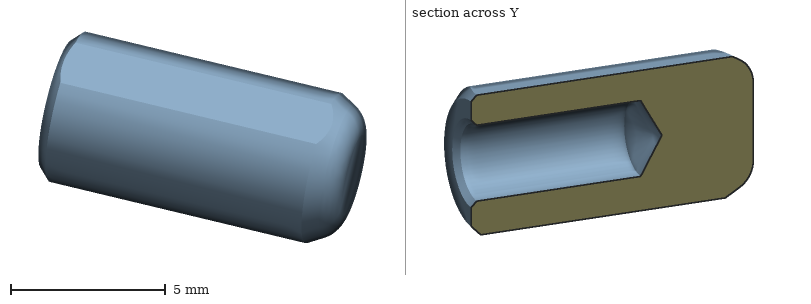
import cadquery as cq
import math

length = 10.0
radius = 2.5
flat_depth = 0.15
entry_chamfer = 0.35

taper_length = 0.5
taper_angle = 30.0
nose_round_radius = 1.0

hole_radius = 1.3
mouth_radius = 1.5
hole_depth = 6.0
drill_point_angle = 120.0


def make_body():
    """Revolve the half profile: chamfered entry, cylinder, taper and rounded nose."""
    angle = math.radians(taper_angle)
    round_start = length - nose_round_radius * (1 - math.sin(angle))
    shoulder_radius = radius - taper_length * math.tan(angle)
    tip_radius = shoulder_radius - nose_round_radius * math.cos(angle)
    taper_start = round_start - taper_length
    profile = (
        cq.Workplane("XY")
        .lineTo(0, radius - entry_chamfer)
        .lineTo(entry_chamfer, radius)
        .lineTo(taper_start, radius)
        .lineTo(round_start, shoulder_radius)
        .tangentArcPoint((length, tip_radius), relative=False)
        .lineTo(length, 0)
        .close()
    )
    return profile.revolve(360, (0, 0, 0), (1, 0, 0))


def make_hole():
    """Revolve the hole: 45 degree countersink, bore and drill point."""
    countersink_depth = mouth_radius - hole_radius
    point_depth = hole_radius / math.tan(math.radians(drill_point_angle / 2))
    profile = (
        cq.Workplane("XY")
        .lineTo(0, mouth_radius)
        .lineTo(countersink_depth, hole_radius)
        .lineTo(hole_depth, hole_radius)
        .lineTo(hole_depth + point_depth, 0)
        .close()
    )
    return profile.revolve(360, (0, 0, 0), (1, 0, 0))


def make_flat_cutter():
    """Block that removes the top of the cylinder along its whole length."""
    return (
        cq.Workplane("XY", origin=(0, 0, radius - flat_depth))
        .box(length, 2 * radius, 2 * flat_depth, centered=(False, True, False))
    )


result = make_body().cut(make_hole()).cut(make_flat_cutter())